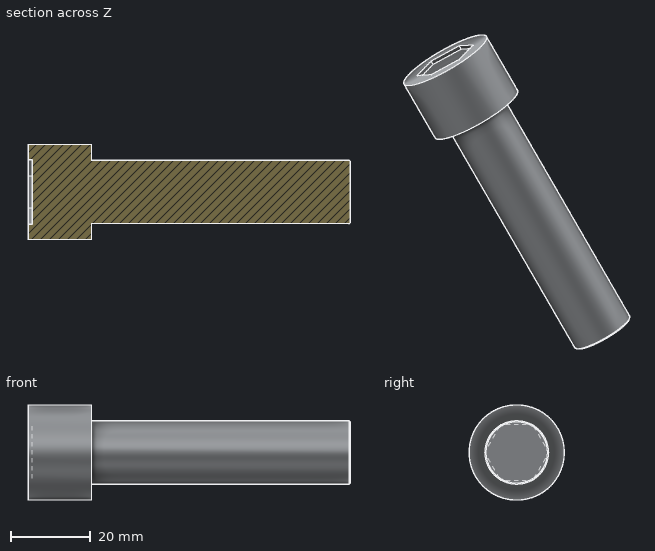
import cadquery as cq
import math

thread_diameter = 16.0
head_diameter = 24.0
head_height = thread_diameter
shank_length = 65.0
tip_chamfer = 0.3
socket_across_flats = 14.0
socket_sides = 6
socket_depth = 1.0

head_face_x = -head_height


def cylinder_along_x(diameter, start_x, length):
    """Solid cylinder centred on the X axis."""
    return cq.Workplane("YZ", origin=(start_x, 0, 0)).circle(diameter / 2).extrude(length)


def make_socket():
    """Hexagonal recess with two corners on the Y axis."""
    across_corners = socket_across_flats / math.cos(math.pi / socket_sides)
    return (
        cq.Workplane("YZ", origin=(head_face_x, 0, 0))
        .polygon(socket_sides, across_corners)
        .extrude(socket_depth)
    )


head = cylinder_along_x(head_diameter, head_face_x, head_height)
shank = cylinder_along_x(thread_diameter, 0, shank_length).faces(">X").chamfer(tip_chamfer)

result = head.union(shank).cut(make_socket())